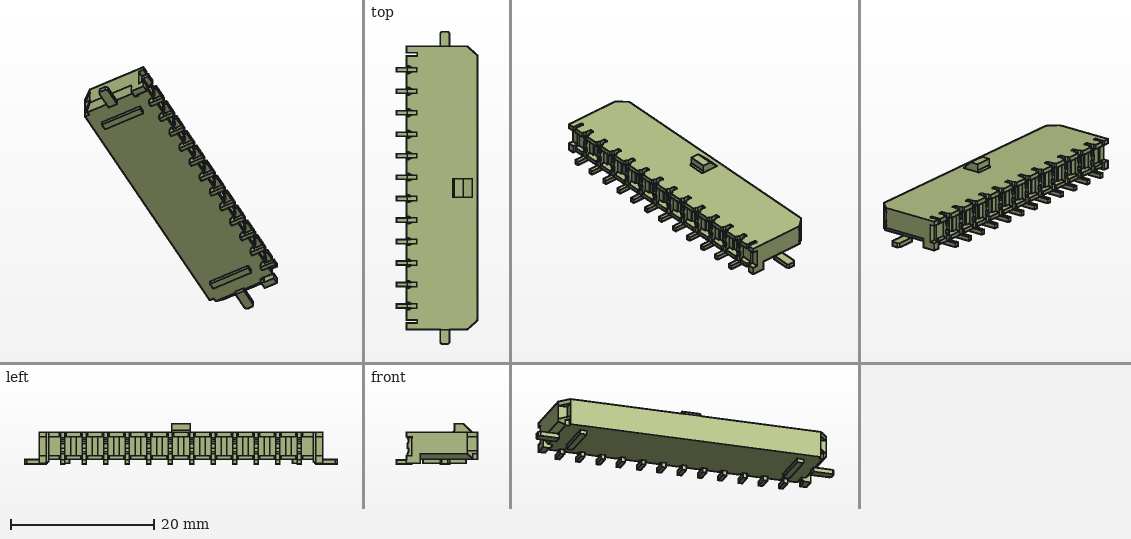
import cadquery as cq


HOUSING_DEPTH = 9.95
HOUSING_LENGTH = 39.6
HOUSING_BOTTOM = 0.65
HOUSING_TOP = 4.45
CORNER_X = 1.45
CORNER_Y = 1.3
EDGE_BEVEL = 0.8

CORNER_NOTCH_BOTTOM = 1.85
CORNER_NOTCH_TOP = 3.8
LOWER_NOTCH_X = 9.3

FOOT_DEPTH = 1.95
FOOT_WIDTH = 1.35
FOOT_BOTTOM = 0.1
FOOT_BEVEL = 0.3

RECESS_DEPTH = 0.75
RECESS_BOTTOM = 1.2
RECESS_TOP = 3.8
END_SLOT_DEPTH = 1.5
END_SLOT_WIDTH = 0.4
GROOVE_WIDTH = 0.8
GROOVE_DEPTH = 0.25

CONTACT_COUNT = 12
CONTACT_PITCH = 3.0
CONTACT_WIDTH = 0.6
CONTACT_TOP = 3.68
TAIL_OVERHANG = 1.4
TAIL_THICKNESS = 0.6
TAIL_INNER_X = 0.75
CONTACT_REAR_X = 0.13
CONTACT_WAIST_X = 0.27
LOWER_WAIST_BOTTOM = 1.45
LOWER_WAIST_TOP = 2.2
UPPER_WAIST_BOTTOM = 2.85
WAIST_SLOPE = 0.25
CONTACT_SLOT_DEPTH = 1.45
SLOT_MOUTH_WIDTH = 1.0
SLOT_MOUTH_DEPTH = 0.35
SLOT_TAPER_DEPTH = 0.65

LATCH_WIDTH = 2.6
LATCH_TOP = 5.64
LATCH_TOE_X = 6.47
LATCH_BACK_X = 6.7
LATCH_CREST_X = 7.95
LATCH_END_X = 9.2
LATCH_TOE_HEIGHT = 0.25

TAB_SPAN = 43.65
TAB_X = 4.7
TAB_WIDTH = 1.35
TAB_INSET = 1.0
TAB_BEVEL = 0.25

RIB_X = 2.3
RIB_LENGTH = 6.05
RIB_WIDTH = 0.95
RIB_OUTER_Y = 16.5

HALF_LENGTH = HOUSING_LENGTH / 2
SIDES = (-1, 1)
CONTACT_YS = [(i - (CONTACT_COUNT - 1) / 2) * CONTACT_PITCH for i in range(CONTACT_COUNT)]


def block(x, y, z):
    """Box given by its (low, high) limits; the two Y limits may come in either order."""
    y_low, y_high = sorted(y)
    size = (x[1] - x[0], y_high - y_low, z[1] - z[0])
    return cq.Workplane("XY").box(*size, centered=False).translate((x[0], y_low, z[0]))


def side_profile(points, width, y=0):
    """Outline in X and Z, extruded to a width centred on y."""
    return cq.Workplane("XZ", origin=(0, y, 0)).polyline(points).close().extrude(width / 2, both=True)


def housing_shell():
    height = HOUSING_TOP - HOUSING_BOTTOM
    corner_x = HOUSING_DEPTH - CORNER_X
    corner_y = HALF_LENGTH - CORNER_Y
    outline = [
        (0, -HALF_LENGTH),
        (corner_x, -HALF_LENGTH),
        (HOUSING_DEPTH, -corner_y),
        (HOUSING_DEPTH, corner_y),
        (corner_x, HALF_LENGTH),
        (0, HALF_LENGTH),
    ]
    return cq.Workplane("XY", origin=(0, 0, HOUSING_BOTTOM)).polyline(outline).close().extrude(height)


def end_bevel(side):
    """Wedge removed from the lower edge of one end, in front of the foot."""
    outer = side * HALF_LENGTH
    wedge = [
        (outer, HOUSING_BOTTOM),
        (outer - side * EDGE_BEVEL, HOUSING_BOTTOM),
        (outer, HOUSING_BOTTOM + EDGE_BEVEL),
    ]
    length = HOUSING_DEPTH - FOOT_DEPTH
    return cq.Workplane("YZ", origin=(FOOT_DEPTH, 0, 0)).polyline(wedge).close().extrude(length)


def corner_notches(side):
    ends = (side * (HALF_LENGTH - CORNER_Y), side * HALF_LENGTH)
    middle = block(
        (HOUSING_DEPTH - CORNER_X, HOUSING_DEPTH), ends, (CORNER_NOTCH_BOTTOM, CORNER_NOTCH_TOP)
    )
    lower = block(
        (LOWER_NOTCH_X, HOUSING_DEPTH), ends, (HOUSING_BOTTOM, HOUSING_BOTTOM + EDGE_BEVEL)
    )
    return middle.union(lower)


def foot(side):
    outer = side * HALF_LENGTH
    inner = outer - side * FOOT_WIDTH
    outline = [
        (outer, FOOT_BOTTOM),
        (inner + side * FOOT_BEVEL, FOOT_BOTTOM),
        (inner, FOOT_BOTTOM + FOOT_BEVEL),
        (inner, HOUSING_TOP),
        (outer, HOUSING_TOP),
    ]
    return cq.Workplane("YZ").polyline(outline).close().extrude(FOOT_DEPTH)


def rear_recess():
    return block((0, RECESS_DEPTH), (-HALF_LENGTH, HALF_LENGTH), (RECESS_BOTTOM, RECESS_TOP))


def end_slot(side):
    inner = side * (HALF_LENGTH - FOOT_WIDTH)
    return block((0, END_SLOT_DEPTH), (inner, inner + side * END_SLOT_WIDTH), (0, HOUSING_TOP))


def groove(y):
    half = GROOVE_WIDTH / 2
    return block(
        (RECESS_DEPTH, RECESS_DEPTH + GROOVE_DEPTH), (y - half, y + half), (RECESS_BOTTOM, RECESS_TOP)
    )


def contact_slot(y):
    """Full-height slot with a flared mouth."""
    mouth = SLOT_MOUTH_WIDTH / 2
    throat = CONTACT_WIDTH / 2
    flare = [
        (0, y - mouth),
        (SLOT_MOUTH_DEPTH, y - mouth),
        (SLOT_TAPER_DEPTH, y - throat),
        (SLOT_TAPER_DEPTH, y + throat),
        (SLOT_MOUTH_DEPTH, y + mouth),
        (0, y + mouth),
    ]
    channel = block((0, CONTACT_SLOT_DEPTH), (y - throat, y + throat), (HOUSING_BOTTOM, HOUSING_TOP))
    flared_mouth = cq.Workplane("XY").polyline(flare).close().extrude(HOUSING_TOP)
    return flared_mouth.union(channel)


def contact(y):
    """Upright filling the slot, with two shallow waists at the rear, and a solder tail."""
    outline = [
        (-TAIL_OVERHANG, 0),
        (-TAIL_OVERHANG, TAIL_THICKNESS),
        (CONTACT_REAR_X, TAIL_THICKNESS),
        (CONTACT_REAR_X, LOWER_WAIST_BOTTOM),
        (CONTACT_WAIST_X, LOWER_WAIST_BOTTOM + WAIST_SLOPE),
        (CONTACT_WAIST_X, LOWER_WAIST_TOP),
        (CONTACT_REAR_X, LOWER_WAIST_TOP),
        (CONTACT_REAR_X, UPPER_WAIST_BOTTOM),
        (CONTACT_WAIST_X, UPPER_WAIST_BOTTOM + WAIST_SLOPE),
        (CONTACT_WAIST_X, CONTACT_TOP - WAIST_SLOPE),
        (CONTACT_REAR_X, CONTACT_TOP),
        (CONTACT_SLOT_DEPTH, CONTACT_TOP),
        (CONTACT_SLOT_DEPTH, HOUSING_BOTTOM),
        (TAIL_INNER_X, HOUSING_BOTTOM),
        (TAIL_INNER_X, 0),
    ]
    return side_profile(outline, CONTACT_WIDTH, y)


def latch():
    outline = [
        (LATCH_TOE_X, HOUSING_TOP),
        (LATCH_BACK_X, HOUSING_TOP + LATCH_TOE_HEIGHT),
        (LATCH_BACK_X, LATCH_TOP),
        (LATCH_CREST_X, LATCH_TOP),
        (LATCH_END_X, HOUSING_TOP),
    ]
    return side_profile(outline, LATCH_WIDTH)


def solder_tab(side):
    tip = side * TAB_SPAN / 2
    root = side * (HALF_LENGTH - TAB_INSET)
    tab = block((TAB_X, TAB_X + TAB_WIDTH), (root, tip), (0, HOUSING_BOTTOM))
    tip_face = ">Y" if side > 0 else "<Y"
    return tab.faces(tip_face).edges("|Z").chamfer(TAB_BEVEL)


def rib(side):
    inner = side * (RIB_OUTER_Y - RIB_WIDTH)
    return block((RIB_X, RIB_X + RIB_LENGTH), (inner, side * RIB_OUTER_Y), (FOOT_BOTTOM, HOUSING_BOTTOM))


result = housing_shell()
for side in SIDES:
    result = result.cut(end_bevel(side)).cut(corner_notches(side))
    result = result.union(foot(side))

result = result.cut(rear_recess())
for side in SIDES:
    result = result.cut(end_slot(side))
for y in CONTACT_YS[:-1]:
    result = result.cut(groove(y + CONTACT_PITCH / 2))
for y in CONTACT_YS:
    result = result.cut(contact_slot(y)).union(contact(y))

result = result.union(latch())
for side in SIDES:
    result = result.union(solder_tab(side)).union(rib(side))